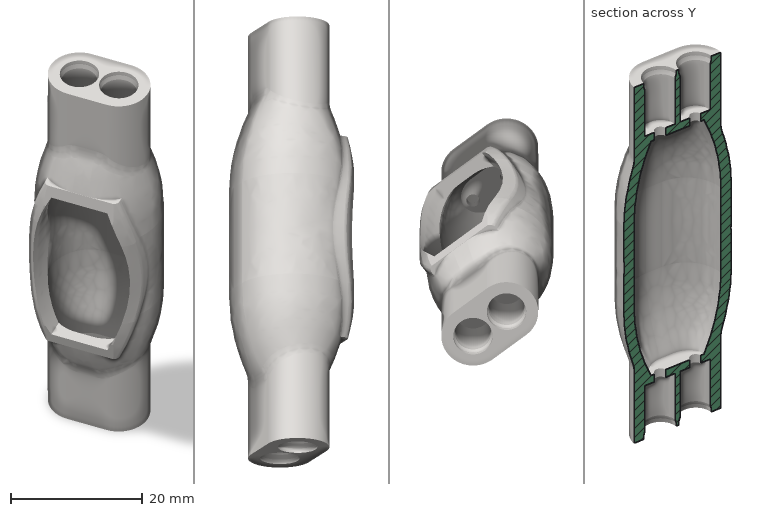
import cadquery as cq
import math

TOTAL_LENGTH = 67.07
HALF_LENGTH = TOTAL_LENGTH / 2
NECK_WIDTH = 16.15
NECK_THICKNESS = 9.7
NECK_FILLET = 4.5
JUNCTION_Z_MIN = 19.0
JUNCTION_Z_MAX = 22.7

BODY_WIDTH = 20.0
BODY_THICKNESS = 17.0
STRAIGHT_HALF_LENGTH = 8.0
SHOULDER_LENGTH = 16.0
SHOULDER_FLAT_TAPER = 0.02
THICKNESS_ARC_RADIUS = 29.5
WIDTH_ARC_RADIUS = 33.0
SHOULDER_SECTIONS = 5

WALL = 2.0
CAVITY_SHOULDER_LENGTH = 14.0

RIM_HEIGHT = 1.0
RIM_HALF_LENGTH = 16.0
RIM_END_HALF_WIDTH = 6.1
RIM_MIDDLE_HALF_WIDTH = 9.45
RIM_FOOT_Y = -1.0
RIM_CREST_FILLET = 0.9
RIM_FOOT_FILLET = 0.4
WINDOW_HALF_LENGTH = 14.1
WINDOW_END_HALF_WIDTH = 4.6
WINDOW_MIDDLE_HALF_WIDTH = 8.0

FLAT_INNER_Z = 12.4
FLAT_INNER_Y = -8.14
FLAT_OUTER_Y = -7.42

HOLE_SPACING = 6.5
BORE_DIAMETER = 5.5
BORE_DEPTH = 10.0
MOUTH_DIAMETER = 6.0
MOUTH_DEPTH = 0.7
MOUTH_CONE_DEPTH = 0.7
PASSAGE_DIAMETER = 2.0

FAR = 20.0


def arc_drop(distance, radius):
    """Inward drop of a tangent arc after the given axial distance."""
    return radius - math.sqrt(radius**2 - distance**2)


def half_ellipse(center_x, reach, half_thickness, z):
    """Half ellipse bulging toward the sign of reach, drawn clockwise seen from +Z."""
    start_angle = 90 if reach > 0 else 270
    return cq.Edge.makeEllipse(
        abs(reach),
        half_thickness,
        cq.Vector(center_x, 0, z),
        cq.Vector(0, 0, 1),
        cq.Vector(1, 0, 0),
        start_angle - 180,
        start_angle,
    )


def shoulder_section(offset, distance):
    """Body section at a distance along the shoulder: two flats and half-elliptical ends."""
    z = STRAIGHT_HALF_LENGTH + distance
    half_width = BODY_WIDTH / 2 + offset - arc_drop(distance, WIDTH_ARC_RADIUS)
    half_thickness = BODY_THICKNESS / 2 + offset - arc_drop(distance, THICKNESS_ARC_RADIUS)
    half_flat = (BODY_WIDTH - BODY_THICKNESS) / 2 - SHOULDER_FLAT_TAPER * distance
    reach = half_width - half_flat
    edges = [
        cq.Edge.makeLine(
            cq.Vector(-half_flat, half_thickness, z), cq.Vector(half_flat, half_thickness, z)
        ),
        half_ellipse(half_flat, reach, half_thickness, z),
        cq.Edge.makeLine(
            cq.Vector(half_flat, -half_thickness, z), cq.Vector(-half_flat, -half_thickness, z)
        ),
        half_ellipse(-half_flat, -reach, half_thickness, z),
    ]
    return cq.Wire.assembleEdges(edges)


def shoulder(offset, length):
    """Upper shoulder of the body, grown by offset."""
    sections = []
    for index in range(SHOULDER_SECTIONS + 1):
        sections.append(shoulder_section(offset, length * index / SHOULDER_SECTIONS))
    return cq.Workplane(cq.Solid.makeLoft(sections))


def bulge(offset, shoulder_length):
    """Whole bulged body, grown by offset."""
    middle = cq.Workplane(
        cq.Solid.extrudeLinear(
            shoulder_section(offset, 0), [], cq.Vector(0, 0, -2 * STRAIGHT_HALF_LENGTH)
        )
    )
    end = shoulder(offset, shoulder_length)
    return middle.union(end).union(end.mirror("XY"))


def barrel_prism(half_length, end_half_width, middle_half_width, inner_y):
    """Prism toward -Y whose outline has flat ends and bowed sides."""
    return (
        cq.Workplane("XZ", origin=(0, inner_y, 0))
        .moveTo(-end_half_width, half_length)
        .lineTo(end_half_width, half_length)
        .threePointArc((middle_half_width, 0), (end_half_width, -half_length))
        .lineTo(-end_half_width, -half_length)
        .threePointArc((-middle_half_width, 0), (-end_half_width, half_length))
        .close()
        .extrude(FAR)
    )


def rim_pad():
    """Raised pad around the window, with the crests of its bowed sides rounded."""
    prism = barrel_prism(RIM_HALF_LENGTH, RIM_END_HALF_WIDTH, RIM_MIDDLE_HALF_WIDTH, RIM_FOOT_Y)
    pad = prism.intersect(bulge(RIM_HEIGHT, SHOULDER_LENGTH))
    return pad.faces("%CYLINDER").edges("not (|Y or >Y)").fillet(RIM_CREST_FILLET)


def rim_flat_cutter():
    """Cutter that leaves a sloping flat on each end bar of the rim."""
    slope = (FLAT_OUTER_Y - FLAT_INNER_Y) / (RIM_HALF_LENGTH - FLAT_INNER_Z)
    end_z = RIM_HALF_LENGTH + RIM_HEIGHT
    end_y = FLAT_OUTER_Y + slope * RIM_HEIGHT
    return (
        cq.Workplane("YZ")
        .moveTo(-FAR, -end_z)
        .lineTo(end_y, -end_z)
        .lineTo(FLAT_INNER_Y, -FLAT_INNER_Z)
        .lineTo(FLAT_INNER_Y, FLAT_INNER_Z)
        .lineTo(end_y, end_z)
        .lineTo(-FAR, end_z)
        .close()
        .extrude(FAR, both=True)
    )


def round_neck_junctions(solid):
    """Fillet where the shoulders run into the two necks."""
    for z_low, z_high in [(JUNCTION_Z_MIN, JUNCTION_Z_MAX), (-JUNCTION_Z_MAX, -JUNCTION_Z_MIN)]:
        zone = cq.selectors.BoxSelector((-FAR, -FAR, z_low), (FAR, FAR, z_high))
        solid = solid.edges(zone).fillet(NECK_FILLET)
    return solid


def round_rim_foot(solid):
    """Fillet where the two bowed rim sides stand on the body."""
    low_corner = (-FAR, -FAR, -RIM_HALF_LENGTH)
    high_corner = (FAR, RIM_FOOT_Y, RIM_HALF_LENGTH)
    rim_zone = cq.selectors.BoxSelector(low_corner, high_corner)
    feet = []
    for side in rim_zone.filter(solid.faces("%CYLINDER").vals()):
        feet += cq.Workplane(side).edges(">Y").vals()
    return solid.newObject(feet).fillet(RIM_FOOT_FILLET)


def cable_holes():
    """Stepped bores of the upper neck reaching into the cavity."""
    centers = [(-HOLE_SPACING / 2, 0), (HOLE_SPACING / 2, 0)]
    top = cq.Workplane("XY").workplane(offset=HALF_LENGTH).pushPoints(centers)
    passage = top.circle(PASSAGE_DIAMETER / 2).extrude(-HALF_LENGTH)
    bore = top.circle(BORE_DIAMETER / 2).extrude(-BORE_DEPTH)
    mouth = top.circle(MOUTH_DIAMETER / 2).extrude(-MOUTH_DEPTH - MOUTH_CONE_DEPTH)
    mouth = mouth.faces("<Z").chamfer(MOUTH_CONE_DEPTH, (MOUTH_DIAMETER - BORE_DIAMETER) / 2)
    return passage.union(bore).union(mouth)


neck = cq.Workplane("XY").slot2D(NECK_WIDTH, NECK_THICKNESS).extrude(HALF_LENGTH, both=True)
body = round_neck_junctions(neck.union(bulge(0, SHOULDER_LENGTH)))
body = round_rim_foot(body.union(rim_pad()))
body = body.cut(rim_flat_cutter())
body = body.cut(bulge(-WALL, CAVITY_SHOULDER_LENGTH))
body = body.cut(
    barrel_prism(WINDOW_HALF_LENGTH, WINDOW_END_HALF_WIDTH, WINDOW_MIDDLE_HALF_WIDTH, 0)
)
holes = cable_holes()
result = body.cut(holes).cut(holes.mirror("XY"))